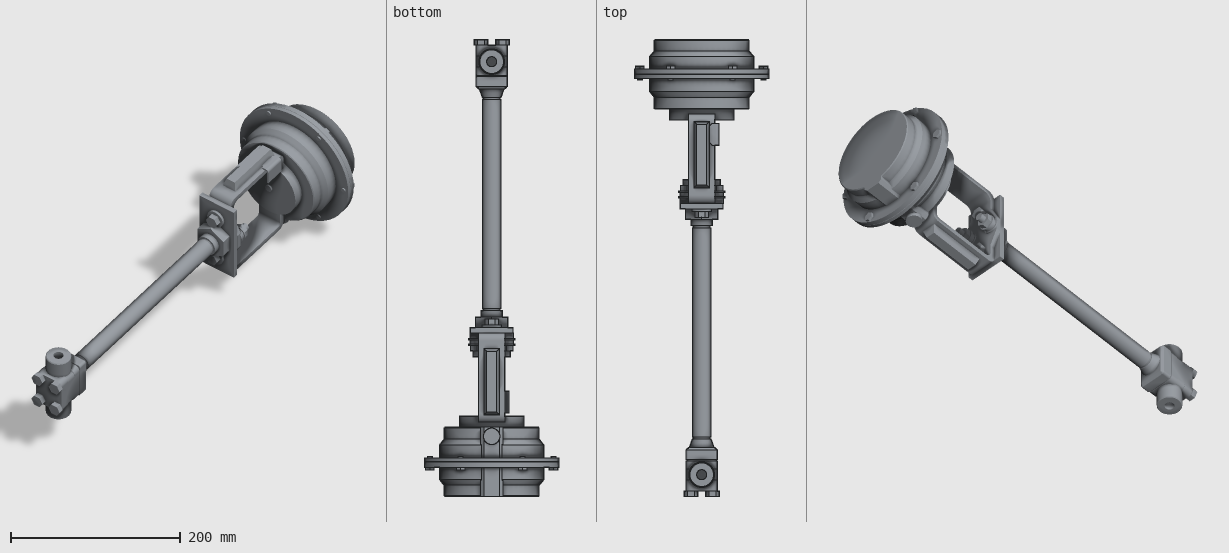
import cadquery as cq
import math


drum_radius = 56.0
body_radius = 61.5
flange_diameter = 159.0
flange_radius = flange_diameter / 2
neck_radius = 38.0
rear_drum_end = 13.5
body_start = 20.0
flange_start = 34.5
flange_split = 41.0
flange_end = 46.0
body_end = 61.0
front_drum_start = 68.0
front_drum_end = 82.0
neck_end = 95.0
drum_edge_chamfer = 1.0
split_groove = 0.5
stem_radius = 4.6
stem_end = 97.0

flange_bolt_count = 6
flange_bolt_circle_diameter = 146.0
flange_bolt_circle_radius = flange_bolt_circle_diameter / 2
flange_bolt_head_radius = 6.0
flange_bolt_radius = 2.95
flange_bolt_head_height = 3.0
flange_bolt_tip = 1.5

pad_width = 27.0
pad_depth = 63.0
pad_chamfer = 4.5
port_radius = 9.5
port_station = 71.0
port_bottom = 68.0

yoke_start = 88.0
yoke_end = 193.0
yoke_half_height = 59.0
yoke_width = 31.0
yoke_thickness = 6.5
yoke_outer_radius = 9.0
yoke_rear_inner_radius = 4.5
yoke_front_inner_radius = 8.5
rib_start = 96.5
rib_end = 174.5
rib_base_width = 18.5
rib_inset = 3.0
rib_height = 10.0

ear_reach = 26.0
ear_root_half_height = 32.0
ear_tip_half_height = 10.0

scale_start = 98.5
scale_end = 124.5
scale_inner_x = rib_base_width / 2
scale_outer_x = 20.5
scale_thickness = 2.0
scale_bottom = 41.0
scale_bend_radius = 4.0
scale_corner_chamfer = 3.0

plate_width = 50.5
plate_height = 105.0
plate_end = 199.5

stud_x = 17.0
stud_radius = 5.0
stud_start = 165.0
stud_nut_start = 172.0
stud_nut_end = 178.5
stud_nut_radius = 9.0
stud_washer_radius = 10.0
stud_washer_thickness = 1.5
lock_washer_radius = 8.5
bolt_z = 30.0
bolt_nut_start = 180.0
bolt_hex_radius = 8.0
bolt_washer_radius = 11.5
bolt_washer_end = 202.5
bolt_head_end = 209.5

gland_hex_radius = 22.0
gland_hex_end = 211.5
collar_diameter = 25.5
collar_end = 219.0
rod_diameter = 22.0
rod_groove_depth = 1.0
rod_groove_length = 2.5
rod_end = 471.0
cone_end = 480.5
cone_radius = 14.5

valve_width = 37.0
valve_height = 48.0
valve_flange_end = 495.0
valve_body_start = 496.5
valve_joint_inset = 1.0
valve_flange_fillet = 3.0
valve_shoulder_chamfer = 3.0
valve_end = 532.0
valve_corner_radius = 6.5
corner_notch_start = 506.5
corner_notch_end = 519.5
corner_notch_radius = 8.0
pipe_station = 513.0
pipe_radius = 15.0
pipe_half_length = 45.0
pipe_chamfer = 1.0
pipe_bore_radius = 6.0
pipe_bore_depth = 27.0
head_spacing_x = 25.5
head_spacing_z = 34.0
head_radius = 8.0
overall_length = 538.5


def section_plane(station):
    """XZ plane at a station; extruding from it goes toward -Y."""
    return cq.Workplane("XZ").workplane(offset=station)


def cylinder(radius, start, end, x=0, z=0):
    return section_plane(start).center(x, z).circle(radius).extrude(end - start)


def block(width, height, start, end):
    return section_plane(start).rect(width, height).extrude(end - start)


def hexagon(corner_radius, start, end, x=0, z=0, corner_angle=90):
    """Hexagonal prism; corner_angle is the direction of one corner from +X toward +Z."""
    corners = []
    for i in range(6):
        angle = math.radians(corner_angle + 60 * i)
        corners.append((x + corner_radius * math.cos(angle), z + corner_radius * math.sin(angle)))
    return section_plane(start).polyline(corners).close().extrude(end - start)


def turned(profile):
    """Solid of revolution about Y from (radius, station) points."""
    points = [(radius, -station) for radius, station in profile]
    return cq.Workplane("XY").polyline(points).close().revolve(360, (0, 0, 0), (0, 1, 0))


def housing():
    """Stepped drum with a split bolting flange, front neck and stem tip."""
    edge = drum_edge_chamfer
    solid = turned([
        (0, 0),
        (drum_radius - edge, 0),
        (drum_radius, edge),
        (drum_radius, rear_drum_end),
        (body_radius, body_start),
        (body_radius, flange_start),
        (flange_radius, flange_start),
        (flange_radius, flange_split - split_groove / 2),
        (flange_radius - split_groove, flange_split),
        (flange_radius, flange_split + split_groove / 2),
        (flange_radius, flange_end),
        (body_radius, flange_end),
        (body_radius, body_end),
        (drum_radius, front_drum_start),
        (drum_radius, front_drum_end - edge),
        (drum_radius - edge, front_drum_end),
        (neck_radius, front_drum_end),
        (neck_radius, neck_end),
        (stem_radius, neck_end),
        (stem_radius, stem_end),
        (0, stem_end),
    ])
    head_start = flange_start - flange_bolt_head_height
    for i in range(flange_bolt_count):
        angle = math.radians(360 / flange_bolt_count * i)
        x = flange_bolt_circle_radius * math.cos(angle)
        z = flange_bolt_circle_radius * math.sin(angle)
        solid = solid.union(hexagon(flange_bolt_head_radius, head_start, flange_start, x, z))
        solid = solid.union(cylinder(flange_bolt_radius, flange_start, flange_end + flange_bolt_tip, x, z))
    return solid


def pad_and_port():
    """Flat foot along the underside of the housing with a short vertical port."""
    pad = (
        section_plane(0)
        .center(0, -pad_depth / 2)
        .rect(pad_width, pad_depth)
        .extrude(front_drum_end)
        .faces("<Z")
        .edges("|Y")
        .chamfer(pad_chamfer)
    )
    port = (
        cq.Workplane("XY")
        .center(0, -port_station)
        .circle(port_radius)
        .extrude(-port_bottom)
    )
    return pad.union(port)


def yoke():
    """Closed rectangular strap with rounded bends, ribs on both arms and ears on the front leg."""
    length = yoke_end - yoke_start
    middle = -(yoke_start + yoke_end) / 2
    height = 2 * yoke_half_height
    outer = cq.Workplane("XY").box(yoke_width, length, height).edges("|X").fillet(yoke_outer_radius)
    inner = (
        cq.Workplane("XY")
        .box(yoke_width, length - 2 * yoke_thickness, height - 2 * yoke_thickness)
        .edges("|X and >Y")
        .fillet(yoke_rear_inner_radius)
        .edges("|X and <Y")
        .fillet(yoke_front_inner_radius)
    )
    solid = outer.cut(inner).translate((0, middle, 0))

    rib_length = rib_end - rib_start
    rib = (
        cq.Workplane("XY")
        .workplane(offset=yoke_half_height)
        .center(0, -(rib_start + rib_end) / 2)
        .rect(rib_base_width, rib_length)
        .workplane(offset=rib_height)
        .rect(rib_base_width - 2 * rib_inset, rib_length - 2 * rib_inset)
        .loft()
    )
    root_x = yoke_width / 2
    ears = (
        section_plane(yoke_end - yoke_thickness)
        .polyline([
            (root_x, ear_root_half_height),
            (ear_reach, ear_tip_half_height),
            (ear_reach, -ear_tip_half_height),
            (root_x, -ear_root_half_height),
            (-root_x, -ear_root_half_height),
            (-ear_reach, -ear_tip_half_height),
            (-ear_reach, ear_tip_half_height),
            (-root_x, ear_root_half_height),
        ])
        .close()
        .extrude(yoke_thickness)
    )
    return solid.union(rib).union(rib.mirror("XY")).union(ears)


def scale_plate():
    """Angle plate lying on the upper arm and hanging down on its +X side."""
    top = yoke_half_height + scale_thickness
    return (
        section_plane(scale_start)
        .polyline([
            (scale_inner_x, yoke_half_height),
            (scale_inner_x, top),
            (scale_outer_x, top),
            (scale_outer_x, scale_bottom),
            (scale_outer_x - scale_thickness, scale_bottom),
            (scale_outer_x - scale_thickness, yoke_half_height),
        ])
        .close()
        .extrude(scale_end - scale_start)
        .edges("|Y and >X and >Z")
        .fillet(scale_bend_radius)
        .edges("|Z and <X")
        .chamfer(scale_corner_chamfer)
    )


def mounting():
    """Mounting plate with the ear studs, the plate bolts and the gland nut."""
    leg_face = yoke_end - yoke_thickness
    rear_washer_end = stud_nut_end + stud_washer_thickness
    front_washer_start = leg_face - stud_washer_thickness
    solid = block(plate_width, plate_height, yoke_end, plate_end)
    for x in (-stud_x, stud_x):
        solid = solid.union(cylinder(stud_radius, stud_start, plate_end, x))
        solid = solid.union(hexagon(stud_nut_radius, stud_nut_start, stud_nut_end, x))
        solid = solid.union(cylinder(stud_washer_radius, stud_nut_end, rear_washer_end, x))
        solid = solid.union(cylinder(lock_washer_radius, rear_washer_end, front_washer_start, x))
        solid = solid.union(cylinder(stud_washer_radius, front_washer_start, leg_face, x))
    for z in (-bolt_z, bolt_z):
        solid = solid.union(hexagon(bolt_hex_radius, bolt_nut_start, leg_face, 0, z, corner_angle=0))
        solid = solid.union(cylinder(bolt_washer_radius, plate_end, bolt_washer_end, 0, z))
        solid = solid.union(hexagon(bolt_hex_radius, bolt_washer_end, bolt_head_end, 0, z, corner_angle=0))
    return solid.union(hexagon(gland_hex_radius, plate_end, gland_hex_end))


def rod():
    """Gland collar, long rod and the cone that widens into the valve, with two narrow grooves."""
    collar_radius = collar_diameter / 2
    rod_radius = rod_diameter / 2
    rod_groove_radius = rod_radius - rod_groove_depth
    return turned([
        (0, plate_end),
        (collar_radius, plate_end),
        (collar_radius, collar_end),
        (rod_groove_radius, collar_end),
        (rod_groove_radius, collar_end + rod_groove_length),
        (rod_radius, collar_end + rod_groove_length),
        (rod_radius, rod_end - rod_groove_length),
        (rod_groove_radius, rod_end - rod_groove_length),
        (rod_groove_radius, rod_end),
        (rod_radius, rod_end),
        (cone_radius, cone_end),
        (0, cone_end),
    ])


def valve():
    """Valve block with its rear flange, vertical pipe ends and four bolt heads in front."""
    flange = (
        block(valve_width, valve_height, cone_end, valve_flange_end)
        .edges("|Y")
        .fillet(valve_flange_fillet)
        .faces(">Y")
        .chamfer(valve_shoulder_chamfer)
    )
    joint = (
        block(
            valve_width - 2 * valve_joint_inset,
            valve_height - 2 * valve_joint_inset,
            valve_flange_end,
            valve_body_start,
        )
        .edges("|Y")
        .fillet(valve_corner_radius)
    )
    body = (
        block(valve_width, valve_height, valve_body_start, valve_end)
        .edges("|Y")
        .fillet(valve_corner_radius)
    )
    notch_core = (
        block(valve_width, valve_height, corner_notch_start, corner_notch_end)
        .edges("|Y")
        .fillet(corner_notch_radius)
    )
    notch_band = block(valve_width, valve_height, corner_notch_start, corner_notch_end)
    body = body.cut(notch_band).union(notch_core)

    pipe = (
        cq.Workplane("XY")
        .workplane(offset=-pipe_half_length)
        .center(0, -pipe_station)
        .circle(pipe_radius)
        .extrude(2 * pipe_half_length)
        .faces("<Z or >Z")
        .chamfer(pipe_chamfer)
    )
    bore = (
        cq.Workplane("XY")
        .workplane(offset=pipe_half_length)
        .center(0, -pipe_station)
        .circle(pipe_bore_radius)
        .extrude(-pipe_bore_depth)
    )
    solid = flange.union(joint).union(body).union(pipe).cut(bore).cut(bore.mirror("XY"))
    for x in (-head_spacing_x / 2, head_spacing_x / 2):
        for z in (-head_spacing_z / 2, head_spacing_z / 2):
            solid = solid.union(hexagon(head_radius, valve_end, overall_length, x, z, corner_angle=0))
    return solid


result = housing()
for component in (pad_and_port(), yoke(), scale_plate(), mounting(), rod(), valve()):
    result = result.union(component)